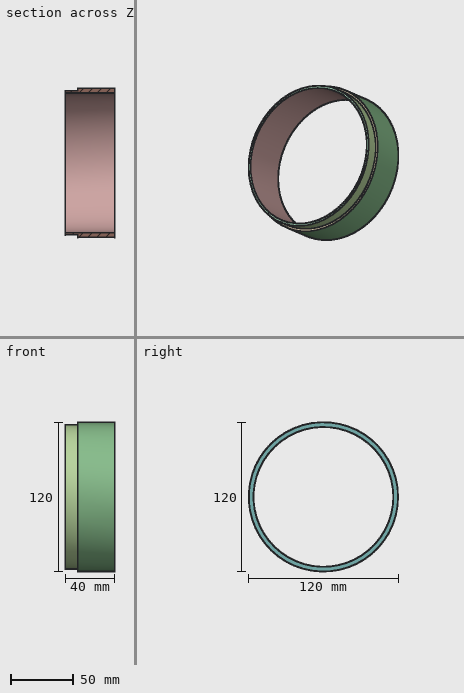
import cadquery as cq

total_length = 40.0
spigot_length = 10.0
body_diameter = 120.0
spigot_diameter = 116.0
bore_diameter = 112.0


def cylinder_along_x(diameter, start_x, end_x):
    """Solid cylinder centred on the X axis between two X positions."""
    return cq.Workplane("YZ", origin=(start_x, 0, 0)).circle(diameter / 2).extrude(end_x - start_x)


spigot = cylinder_along_x(spigot_diameter, 0, spigot_length)
body = cylinder_along_x(body_diameter, spigot_length, total_length)

bore = cylinder_along_x(bore_diameter, 0, total_length)

result = spigot.union(body).cut(bore)